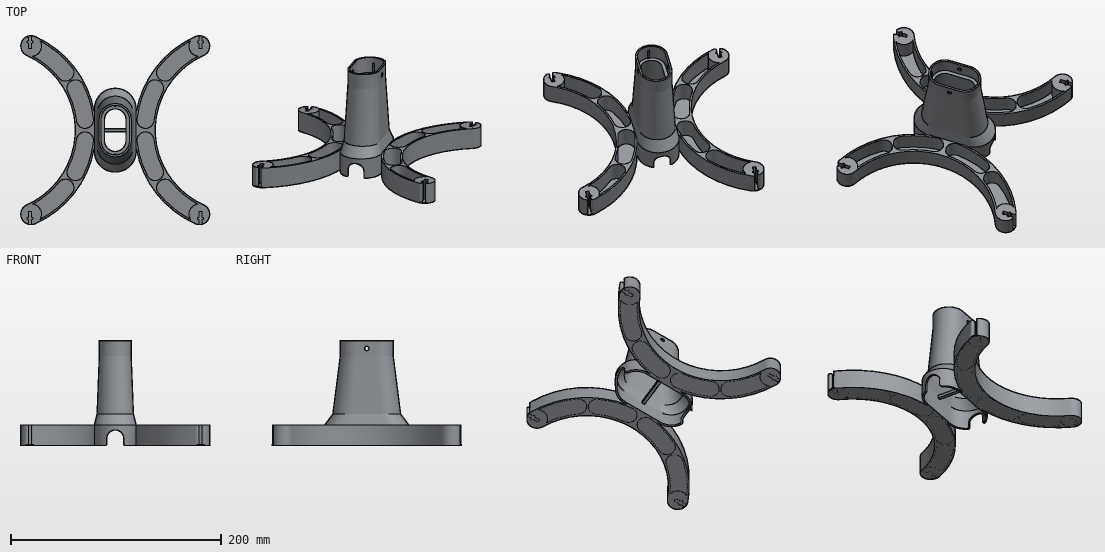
import cadquery as cq
import math

SPAN = 180.0
TOTAL_HEIGHT = 100.0
BASE_HEIGHT = 20.0
SHOULDER_HEIGHT = 30.0
COLLAR_START = 85.0
WALL = 1.8

BASE_RADIUS = 20.0
BASE_FLAT = 20.0
SHOULDER_RADIUS = 17.5
SHOULDER_FLAT = 15.0
COLLAR_RADIUS = 15.3
COLLAR_FLAT = 10.0
BORE_RADIUS = 10.0

ARCH_RADIUS = 8.0
ARCH_TOP = 15.0
ARCH_FOOT_FILLET = 1.8
BAR_SIZE = 3.0
PIN_HOLE_DIAMETER = 4.0
PIN_HOLE_DEPTH = 7.5
CLIP_WIDTH = 1.8
CLIP_DEPTH = 0.9
CLIP_HEIGHT = 9.5

FOOT_RADIUS = 9.9
LEG_MIDDLE_X = 28.3
LEG_FLOOR = 1.0
FOOT_DEPTH = BASE_HEIGHT - LEG_FLOOR
POCKET_ANGLES = ((6.4, 27.0), (38.6, None))
FOOT_CENTRE = SPAN / 2 - FOOT_RADIUS

SLOT_WIDTH = 3.0
SLOT_OFFSET = 1.0
SLOT_END = -2.5
DIAMOND_HALF = 3.0
DIAMOND_CENTRE = 4.0
MOUTH_FILLET = 1.5

leg_rise = FOOT_CENTRE - LEG_MIDDLE_X
LEG_RADIUS = (leg_rise**2 + FOOT_CENTRE**2) / (2 * leg_rise)
LEG_CENTRE_X = LEG_MIDDLE_X + LEG_RADIUS
FOOT_ANGLE = math.degrees(math.asin(FOOT_CENTRE / LEG_RADIUS))


def stadium(plane, radius, flat):
    return plane.slot2D(2 * (flat + radius), 2 * radius, 90)


def prism(radius, flat, bottom, top):
    return stadium(cq.Workplane("XY").workplane(offset=bottom), radius, flat).extrude(top - bottom)


def taper(lower, upper, bottom, top):
    """Loft from one (radius, flat) stadium to another."""
    start = stadium(cq.Workplane("XY").workplane(offset=bottom), *lower)
    return stadium(start.workplane(offset=top - bottom), *upper).loft(ruled=True)


def neck_outside():
    shoulder = (SHOULDER_RADIUS, SHOULDER_FLAT)
    return (
        prism(BASE_RADIUS, BASE_FLAT, 0, BASE_HEIGHT)
        .union(taper((BASE_RADIUS, BASE_FLAT), shoulder, BASE_HEIGHT, SHOULDER_HEIGHT))
        .union(taper(shoulder, (COLLAR_RADIUS, COLLAR_FLAT), SHOULDER_HEIGHT, COLLAR_START))
        .union(prism(COLLAR_RADIUS, COLLAR_FLAT, COLLAR_START, TOTAL_HEIGHT))
    )


def neck_inside():
    base = (BASE_RADIUS - WALL, BASE_FLAT)
    shoulder = (SHOULDER_RADIUS - WALL, SHOULDER_FLAT)
    return (
        prism(*base, 0, BASE_HEIGHT)
        .union(taper(base, shoulder, BASE_HEIGHT, SHOULDER_HEIGHT))
        .union(taper(shoulder, (BORE_RADIUS, COLLAR_FLAT), SHOULDER_HEIGHT, COLLAR_START))
        .union(prism(COLLAR_RADIUS - WALL, COLLAR_FLAT, COLLAR_START, TOTAL_HEIGHT))
    )


def cable_arch():
    """Arched opening through both ends of the base, with rounded feet."""
    foot = ARCH_RADIUS + ARCH_FOOT_FILLET
    middle = ARCH_FOOT_FILLET * (1 - math.sqrt(0.5))
    length = 2 * (BASE_RADIUS + BASE_FLAT)
    return (
        cq.Workplane("XZ")
        .moveTo(-foot, 0)
        .threePointArc((-ARCH_RADIUS - middle, middle), (-ARCH_RADIUS, ARCH_FOOT_FILLET))
        .lineTo(-ARCH_RADIUS, ARCH_TOP - ARCH_RADIUS)
        .threePointArc((0, ARCH_TOP), (ARCH_RADIUS, ARCH_TOP - ARCH_RADIUS))
        .lineTo(ARCH_RADIUS, ARCH_FOOT_FILLET)
        .threePointArc((ARCH_RADIUS + middle, middle), (foot, 0))
        .close()
        .extrude(length / 2, both=True)
    )


def pin_holes():
    return (
        cq.Workplane("YZ")
        .center(0, TOTAL_HEIGHT - PIN_HOLE_DEPTH)
        .circle(PIN_HOLE_DIAMETER / 2)
        .extrude(2 * COLLAR_RADIUS, both=True)
    )


def cross_bar():
    bar = cq.Workplane("XY").box(2 * BASE_RADIUS - WALL, BAR_SIZE, BAR_SIZE)
    return bar.translate((0, 0, BASE_HEIGHT - BAR_SIZE / 2))


def clip_ribs():
    """Small upright ribs inside both ends of the collar socket."""
    inner_end = COLLAR_FLAT + COLLAR_RADIUS - WALL
    depth = CLIP_DEPTH + WALL / 2
    return (
        cq.Workplane("XY")
        .workplane(offset=COLLAR_START)
        .pushPoints([(0, side * (inner_end - CLIP_DEPTH + depth / 2)) for side in (-1, 1)])
        .rect(CLIP_WIDTH, depth)
        .extrude(CLIP_HEIGHT)
    )


def leg_point(radius, angle):
    turn = math.radians(angle)
    return (LEG_CENTRE_X - radius * math.cos(turn), radius * math.sin(turn))


def arc_band(half_width, start, end, bottom):
    """Curved bar along the leg centreline with full round ends."""
    middle = (start + end) / 2
    inner = LEG_RADIUS - half_width
    outer = LEG_RADIUS + half_width
    band = (
        cq.Workplane("XY")
        .workplane(offset=bottom)
        .moveTo(*leg_point(inner, start))
        .threePointArc(leg_point(inner, middle), leg_point(inner, end))
        .tangentArcPoint(leg_point(outer, end), relative=False)
        .threePointArc(leg_point(outer, middle), leg_point(outer, start))
        .tangentArcPoint(leg_point(inner, start), relative=False)
        .close()
    )
    return band.extrude(BASE_HEIGHT - bottom)


def upright(centre):
    return cq.Workplane("XY").workplane(offset=LEG_FLOOR).center(*centre)


def foot_post():
    """Solid core of the +X +Y foot."""
    return upright((FOOT_CENTRE, FOOT_CENTRE)).circle(FOOT_RADIUS).extrude(FOOT_DEPTH)


def keyhole_slot():
    """Straight slot with a diamond widening, open towards +Y."""
    x = FOOT_CENTRE + SLOT_OFFSET
    length = FOOT_RADIUS + WALL - SLOT_END
    middle = FOOT_CENTRE + SLOT_END + length / 2
    slot = upright((x, middle)).rect(SLOT_WIDTH, length).extrude(FOOT_DEPTH)
    diamond = upright((x, FOOT_CENTRE + DIAMOND_CENTRE)).polygon(4, 2 * DIAMOND_HALF)
    return slot.union(diamond.extrude(FOOT_DEPTH))


def slot_mouth(side):
    """Selects the two upright edges where the slot breaks out of the foot at Y = side * SPAN / 2."""
    centre = cq.Vector(FOOT_CENTRE + SLOT_OFFSET, side * SPAN / 2, LEG_FLOOR + FOOT_DEPTH / 2)
    reach = cq.Vector(SLOT_WIDTH, WALL, FOOT_DEPTH)
    return cq.selectors.BoxSelector((centre - reach).toTuple(), (centre + reach).toTuple())


def leg():
    """The +X leg: an arc with pockets and a slotted foot at each end."""
    body = arc_band(FOOT_RADIUS, -FOOT_ANGLE, FOOT_ANGLE, 0)
    post = foot_post()
    slot = keyhole_slot()
    for start, end in POCKET_ANGLES:
        pocket = arc_band(FOOT_RADIUS - WALL, start, end or FOOT_ANGLE, LEG_FLOOR).cut(post)
        body = body.cut(pocket).cut(pocket.mirror("XZ"))
    body = body.cut(slot).cut(slot.mirror("XZ"))
    for side in (-1, 1):
        body = body.edges("|Z").edges(slot_mouth(side)).fillet(MOUTH_FILLET)
    return body


right_leg = leg()
cavity = neck_inside()
result = neck_outside().union(right_leg).union(right_leg.mirror("YZ"))
result = result.cut(cavity).cut(cable_arch()).cut(pin_holes())
result = result.union(cross_bar()).union(clip_ribs())